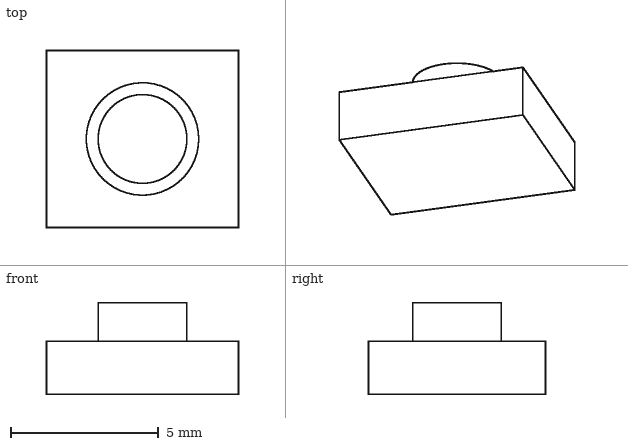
import cadquery as cq

housing_length = 6.5
housing_width = 6.0
housing_height = 1.8

total_height = 3.1
stem_diameter = 3.0
flange_diameter = 3.8
flange_thickness = housing_height / 2

stem_height = total_height - housing_height
flange_bottom = housing_height - flange_thickness


def make_flange():
    """Disc whose upper face is level with the housing top."""
    return (
        cq.Workplane("XY")
        .workplane(offset=flange_bottom)
        .circle(flange_diameter / 2)
        .extrude(flange_thickness)
    )


def make_housing():
    """Rectangular block with a round recess that seats the flange."""
    block = cq.Workplane("XY").box(
        housing_length, housing_width, housing_height, centered=(True, True, False)
    )
    return block.cut(make_flange())


def make_button():
    """Flange and round stem as one solid."""
    return make_flange().faces(">Z").workplane().circle(stem_diameter / 2).extrude(stem_height)


housing = make_housing()
button = make_button()

result = cq.Compound.makeCompound([housing.solids().val(), button.solids().val()])